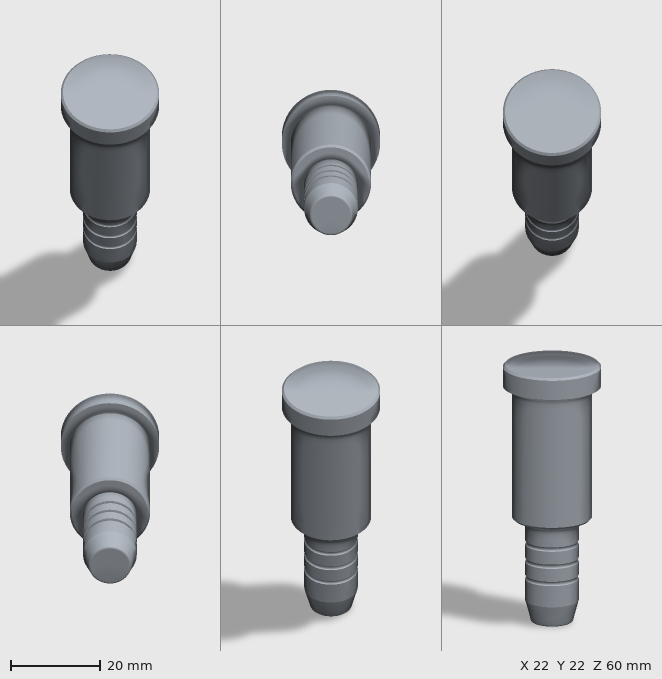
import cadquery as cq
import math

total_length = 60.0
head_diameter = 22.0
head_height = 5.0
body_diameter = 18.0
body_bottom = 24.0
pilot_diameter = 12.0
edge_break = 0.5

neck_height = 1.0
neck_diameter = pilot_diameter - 2 * edge_break

first_groove_height = 18.5
groove_pitch = 4.0
groove_count = 3

nose_height = 5.0
nose_angle = 15.0


def cylinder(diameter, bottom, top):
    return cq.Workplane("XY").workplane(offset=bottom).circle(diameter / 2).extrude(top - bottom)


def groove_cutter(diameter, height):
    """Ring that cuts a round-bottomed groove centred at the given height."""
    radius = diameter / 2
    return (
        cq.Workplane("XZ")
        .center(radius, height)
        .circle(edge_break)
        .revolve(360, (-radius, 0), (-radius, 1))
    )


head_bottom = total_length - head_height
head = cylinder(head_diameter, head_bottom, total_length).faces(">Z").chamfer(edge_break)
body = cylinder(body_diameter, body_bottom, head_bottom).faces("<Z").chamfer(edge_break)
body = body.cut(groove_cutter(body_diameter, head_bottom - edge_break))

pilot_top = body_bottom - neck_height
neck = cylinder(neck_diameter, pilot_top, body_bottom)
pilot = cylinder(pilot_diameter, nose_height, pilot_top)
for index in range(groove_count):
    pilot = pilot.cut(groove_cutter(pilot_diameter, first_groove_height - index * groove_pitch))

tip_radius = pilot_diameter / 2 - nose_height * math.tan(math.radians(nose_angle))
nose = (
    cq.Workplane("XZ")
    .polyline([(0, 0), (tip_radius, 0), (pilot_diameter / 2, nose_height), (0, nose_height)])
    .close()
    .revolve(360, (0, 0), (0, 1))
    .faces("<Z")
    .edges()
    .fillet(edge_break)
)

result = head.union(body).union(neck).union(pilot).union(nose)